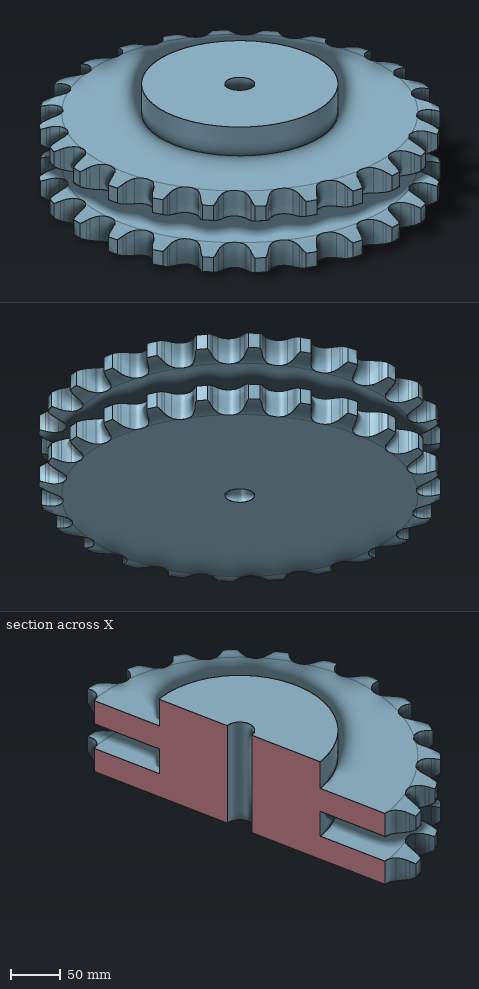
import cadquery as cq
import math

overall_width = 407.5
total_height = 120.0
hub_diameter = 200.0
bore_diameter = 30.0

tooth_count = 24
pitch_diameter = 389.0
roller_diameter = 28.5

plate_thickness = 29.0
strand_spacing = 58.5
side_round_diameter = 362.5
side_round_depth = 6.0


def polar(center, radius, angle):
    """Point at a distance and an angle in degrees from a center."""
    return (
        center[0] + radius * math.cos(math.radians(angle)),
        center[1] + radius * math.sin(math.radians(angle)),
    )


def mirrored(point):
    return (point[0], -point[1])


seat_end_slope = 35 + 60 / tooth_count
working_arc_angle = 18 - 56 / tooth_count
straight_slope = seat_end_slope - working_arc_angle
topping_angle = math.radians(17 - 64 / tooth_count)
working_angle = math.radians(working_arc_angle)

seat_radius = 0.5025 * roller_diameter
working_radius = 1.3025 * roller_diameter
straight_length = roller_diameter * (1.4 * math.sin(topping_angle) - 0.8 * math.sin(working_angle))
topping_radius = roller_diameter * (0.8 * math.cos(working_angle) + 1.4 * math.cos(topping_angle) - 1.3025)

seat_center = (pitch_diameter / 2, 0)
seat_bottom = polar(seat_center, seat_radius, 180)
seat_end = polar(seat_center, seat_radius, 90 + seat_end_slope)

working_center = polar(seat_end, working_radius, seat_end_slope - 90)
working_middle = polar(working_center, working_radius, 90 + (seat_end_slope + straight_slope) / 2)
working_end = polar(working_center, working_radius, 90 + straight_slope)

straight_end = polar(working_end, straight_length, straight_slope)

topping_center = polar(straight_end, topping_radius, 90 + straight_slope)
tip_slope = math.degrees(math.asin((overall_width / 2 - topping_center[0]) / topping_radius))
topping_middle = polar(topping_center, topping_radius, (straight_slope + tip_slope) / 2 - 90)
tip_corner = polar(topping_center, topping_radius, tip_slope - 90)
outer_radius = math.hypot(*tip_corner)


def tooth_gap():
    """Cutter for the gap on the +X axis, open past the rim."""
    open_end = (outer_radius + roller_diameter, tip_corner[1])
    return (
        cq.Workplane("XY")
        .moveTo(*mirrored(open_end))
        .lineTo(*mirrored(tip_corner))
        .threePointArc(mirrored(topping_middle), mirrored(straight_end))
        .lineTo(*mirrored(working_end))
        .threePointArc(mirrored(working_middle), mirrored(seat_end))
        .threePointArc(seat_bottom, seat_end)
        .threePointArc(working_middle, working_end)
        .lineTo(*straight_end)
        .threePointArc(topping_middle, tip_corner)
        .lineTo(*open_end)
        .close()
        .extrude(total_height)
    )


def plate_blank(base):
    """Round plate whose two sides curve toward each other at the rim."""
    round_start = side_round_diameter / 2
    round_width = outer_radius - round_start
    round_radius = (round_width**2 + side_round_depth**2) / (2 * side_round_depth)
    middle_width = round_width / 2
    middle_depth = round_radius - math.sqrt(round_radius**2 - middle_width**2)
    middle = round_start + middle_width
    top = base + plate_thickness
    return (
        cq.Workplane("XZ")
        .moveTo(0, base)
        .lineTo(round_start, base)
        .threePointArc((middle, base + middle_depth), (outer_radius, base + side_round_depth))
        .lineTo(outer_radius, top - side_round_depth)
        .threePointArc((middle, top - middle_depth), (round_start, top))
        .lineTo(0, top)
        .close()
        .revolve(360, (0, 0, 0), (0, 1, 0))
    )


result = cq.Workplane("XY").circle(hub_diameter / 2).extrude(total_height)
for plate_base in (0, strand_spacing):
    result = result.union(plate_blank(plate_base))

gap = tooth_gap()
for index in range(tooth_count):
    result = result.cut(gap.rotate((0, 0, 0), (0, 0, 1), index * 360 / tooth_count))

bore = cq.Workplane("XY").circle(bore_diameter / 2).extrude(total_height)
result = result.cut(bore)